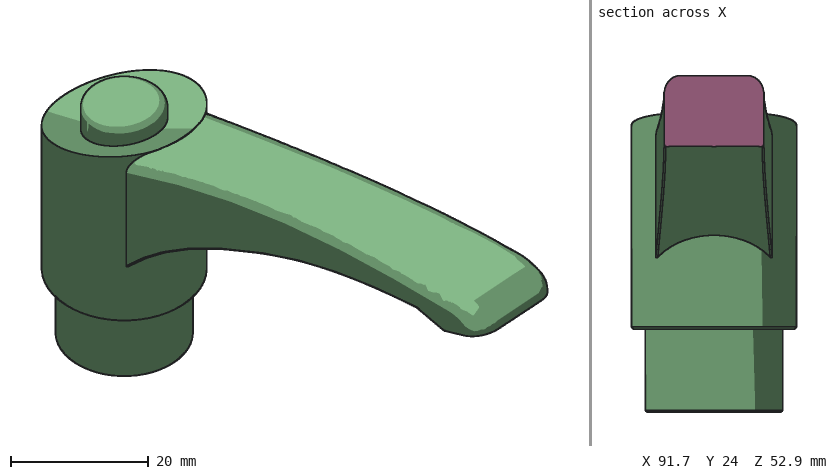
import cadquery as cq
import math

hub_radius = 12.0
hub_chamfer = 0.4
stem_radius = 10.0
stem_chamfer = 0.3
stem_height = 12.0

rim_low = 38.05
rim_middle = 41.5
rim_high = 43.6
dish_depth = 2.0

button_radius = 6.3
button_top = 43.9
button_fillet = 1.5

arm_root_x = 8.5
arm_root_z = 22.2
arm_root_top = 42.7
arm_top_middle = (46.9, 51.0)
arm_underside = [(19.35, 31.2), (31.1, 37.3), (41.4, 41.5), (53.8, 45.0), (66.9, 47.2)]
arm_end_x = 72.9
crest_z = 52.9
tip_heel = (72.1, 46.2)
tip_x = 91.7 - hub_radius
tip_z = 49.8
tip_land = 0.9

arm_root_half_width = 8.4
arm_waist_x = 41.3
arm_waist_half_width = 7.2
arm_end_half_width = 7.9
tip_corner_radius = 3.4
tip_half_width = arm_end_half_width - tip_corner_radius
side_taper = 0.1

arm_top_fillet = 2.5
arm_bottom_fillet = 0.3
arm_overlap = 0.1


def cylinder(radius, bottom, top):
    return cq.Workplane("XY").workplane(offset=bottom).circle(radius).extrude(top - bottom)


def extrude_across(profile):
    """Extrude an XZ profile past both sides of the hub."""
    return profile.close().extrude(2 * hub_radius, both=True)


def ring_curve(radius, height):
    """Closed curve above a circle, with its height given as a function of x."""

    def point(turn):
        x = radius * math.cos(turn)
        y = radius * math.sin(turn)
        return x, y, height(x)

    curve = cq.Workplane("XY").parametricCurve(point, N=60, start=0, stop=2 * math.pi)
    return curve.vals()[0].Edges()[0]


def dish_cutter():
    """Everything above a ruled dish that falls from the arched rim to the button."""
    slope = (rim_high - rim_low) / (2 * hub_radius)
    arch = (rim_middle - (rim_high + rim_low) / 2) / hub_radius**2
    overrun = 1.1
    outer_radius = button_radius + overrun * (hub_radius - button_radius)

    def floor_height(x):
        return rim_middle - dish_depth + slope * x

    def outer_height(x):
        rim_x = x * hub_radius / outer_radius
        floor = floor_height(x * button_radius / outer_radius)
        rim = rim_middle + slope * rim_x - arch * rim_x**2
        return floor + overrun * (rim - floor)

    inner = ring_curve(button_radius, floor_height)
    outer = ring_curve(outer_radius, outer_height)
    top = ring_curve(outer_radius, lambda x: crest_z)
    faces = [
        cq.Face.makeFromWires(cq.Wire.assembleEdges([inner])),
        cq.Face.makeRuledSurface(inner, outer),
        cq.Face.makeRuledSurface(outer, top),
        cq.Face.makeFromWires(cq.Wire.assembleEdges([top])),
    ]
    shell = cq.Shell.makeShell(faces)
    return cq.Workplane(cq.Solid.makeSolid(shell).fix())


def make_hub():
    hub = cylinder(hub_radius, stem_height, crest_z).faces("<Z").edges().chamfer(hub_chamfer)
    return hub.cut(dish_cutter())


def make_stem():
    stem = cylinder(stem_radius, 0, stem_height + hub_chamfer)
    return stem.faces("<Z").edges().chamfer(stem_chamfer)


def make_button():
    button = cylinder(button_radius, stem_height, button_top)
    return button.faces(">Z").edges().fillet(button_fillet)


def make_arm():
    underside = extrude_across(
        cq.Workplane("XZ")
        .moveTo(arm_root_x, arm_root_z)
        .spline(arm_underside, includeCurrent=True)
        .lineTo(*tip_heel)
        .lineTo(tip_x, tip_z - tip_land)
        .lineTo(tip_x, 0)
        .lineTo(arm_root_x, 0)
    )
    top_profile = extrude_across(
        cq.Workplane("XZ")
        .moveTo(arm_root_x, 0)
        .lineTo(arm_root_x, arm_root_top)
        .threePointArc(arm_top_middle, (arm_end_x, crest_z))
        .tangentArcPoint((tip_x, tip_z), relative=False)
        .lineTo(tip_x, 0)
    )
    corner_x = tip_x - tip_corner_radius
    outline = (
        cq.Workplane("XY")
        .moveTo(arm_root_x, -arm_root_half_width)
        .spline(
            [(arm_waist_x, -arm_waist_half_width), (corner_x, -arm_end_half_width)],
            tangents=[(1, side_taper), (1, 0)],
            includeCurrent=True,
        )
        .radiusArc((tip_x, -tip_half_width), -tip_corner_radius)
        .lineTo(tip_x, tip_half_width)
        .radiusArc((corner_x, arm_end_half_width), -tip_corner_radius)
        .spline(
            [(arm_waist_x, arm_waist_half_width), (arm_root_x, arm_root_half_width)],
            tangents=[(-1, 0), (-1, side_taper)],
            includeCurrent=True,
        )
        .close()
        .extrude(crest_z)
    )
    above_root = cq.selectors.BoxSelector(
        (arm_root_x + arm_overlap, -hub_radius, arm_root_top),
        (tip_x - arm_overlap, hub_radius, crest_z),
    )
    arm = top_profile.intersect(outline)
    arm = arm.edges(above_root).edges("not(|Y)").fillet(arm_top_fillet)
    arm = arm.cut(underside)

    below_arch = cq.selectors.BoxSelector(
        (hub_radius, -hub_radius, arm_root_z),
        (arm_top_middle[0], hub_radius, arm_root_top),
    )
    arm = arm.edges(below_arch).fillet(arm_bottom_fillet)
    return arm.cut(cylinder(hub_radius - arm_overlap, 0, crest_z))


result = make_stem().union(make_hub()).union(make_button()).union(make_arm())